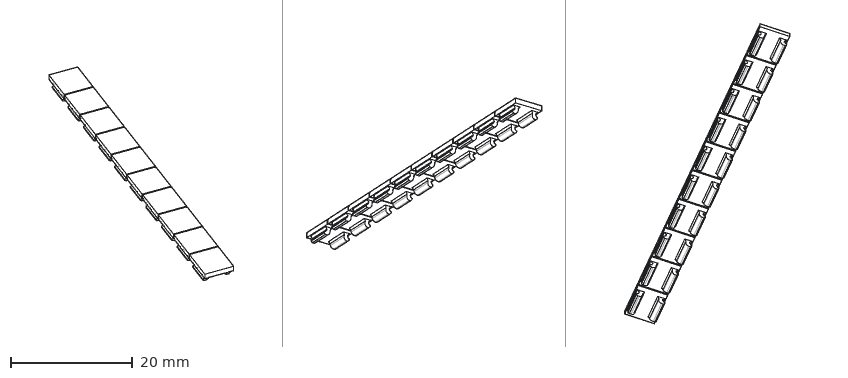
import cadquery as cq

strip_length = 60.8
strip_width = 5.2
total_height = 2.2
tile_count = 10
plate_thickness = 0.9
tile_pitch = strip_length / tile_count

groove_width = 0.2
web_thickness = 0.1

root_inner = 1.15
root_outer = 2.45
root_depth = 0.35
neck_inner = 1.4
neck_outer = 2.05
heel_start_height = 0.55
toe_outer = 2.5
toe_top_height = 0.4
toe_chamfer = 0.25
toe_bottom_inner = 2.05

leg_root_length = 4.4
leg_toe_length = 3.8

plate_bottom = total_height - plate_thickness
root_bottom = plate_bottom - root_depth

hollow_mid = (2.2, 0.6)
heel_mid = (1.5, 0.25)


def make_plate():
    plate = cq.Workplane("XY").box(
        strip_length, strip_width, plate_thickness, centered=(True, True, False)
    )
    plate = plate.translate((0, 0, plate_bottom))
    groove_depth = plate_thickness - web_thickness
    groove = cq.Workplane("XY").box(
        groove_width, strip_width, groove_depth, centered=(True, True, False)
    )
    for joint in range(1, tile_count):
        joint_x = joint * tile_pitch - strip_length / 2
        plate = plate.cut(groove.translate((joint_x, 0, plate_bottom + web_thickness)))
    return plate


def make_leg():
    """Leg on the +Y side of a tile centred at X = 0."""
    profile = (
        cq.Workplane("YZ")
        .moveTo(root_inner, plate_bottom)
        .lineTo(root_outer, plate_bottom)
        .lineTo(neck_outer, root_bottom)
        .threePointArc(hollow_mid, (toe_outer, toe_top_height))
        .lineTo(toe_outer, toe_chamfer)
        .lineTo(toe_outer - toe_chamfer, 0)
        .lineTo(toe_bottom_inner, 0)
        .threePointArc(heel_mid, (neck_inner, heel_start_height))
        .lineTo(neck_inner, root_bottom)
        .close()
        .extrude(leg_root_length / 2, both=True)
    )
    taper = (
        cq.Workplane("XZ")
        .polyline([
            (-leg_root_length / 2, plate_bottom),
            (leg_root_length / 2, plate_bottom),
            (leg_toe_length / 2, 0),
            (-leg_toe_length / 2, 0),
        ])
        .close()
        .extrude(strip_width / 2, both=True)
    )
    return profile.intersect(taper)


leg = make_leg()
leg_pair = leg.union(leg.mirror("XZ"))
result = make_plate()
for tile in range(tile_count):
    tile_x = (tile + 0.5) * tile_pitch - strip_length / 2
    result = result.union(leg_pair.translate((tile_x, 0, 0)))